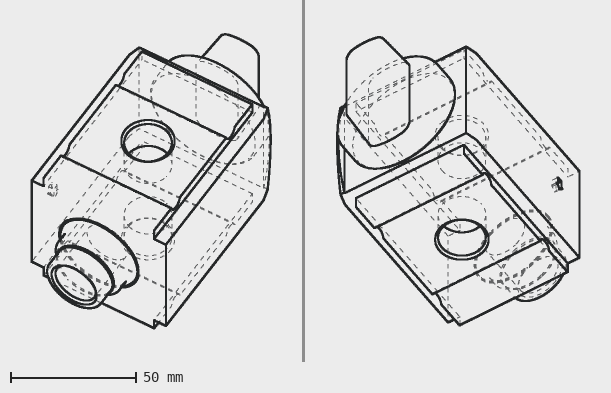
import cadquery as cq
import math


margin = 0.1

block_length = 80.1
block_height = 52.3
bulge_width = 67.0
front_width = 62.7
rear_width = 60.0
bevel_slope = math.tan(math.radians(15))

pad_width = 51.5
pad_length = 75.5
total_height = 63.0
pad_edge_radius = 0.4

groove_radius = 3.0
groove_edge_radius = 0.5
groove_places = (16.6, 58.7)

port_radius = 9.5
port_depth = 15.2
port_place = pad_length / 2
port_chamfer = 1.1

spout_length = 18.9
spout_root_radius = 18.0
spout_middle_radius = 15.5
spout_shoulder_radius = 13.2
spout_end_radius = 13.0
spout_cone_length = 2.5
spout_middle_end = 7.7
spout_shoulder_end = 10.8
spout_bore_radius = 9.4
spout_bore_depth = 25.4
spout_bore_chamfer = 1.1
spout_edge_radius = 0.8
spout_blend_radius = 0.6
clearance_radius = 18.5
clearance_depth = 0.6

collar_radius = 25.0
collar_length = 10.5
collar_edge_radius = 0.8
knob_length = 17.4
knob_width = 19.7
knob_end_radius = 22.1
knob_corner_radius = 5.2
knob_draft = 2.4
knob_edge_radius = 0.5

lip_inner = 28.1
lip_height = 4.6
lip_end_height = 0.4
lip_root = 1.3

arrow_place = 17.7
arrow_top = 3.0
arrow_neck = -0.8
arrow_tip = -2.9
arrow_shaft_width = 2.5
arrow_head_width = 4.1
arrow_floor = 31.0


def make_block():
    """Bulged prism whose sides are bevelled towards both ends."""
    edge = front_width / 2
    crest = bulge_width / 2
    half_height = block_height / 2
    prism = (
        cq.Workplane("XZ")
        .moveTo(-edge, -half_height)
        .lineTo(edge, -half_height)
        .threePointArc((crest, 0), (edge, half_height))
        .lineTo(-edge, half_height)
        .threePointArc((-crest, 0), (-edge, -half_height))
        .close()
        .extrude(-block_length)
    )
    front_bevel = (crest - edge) / bevel_slope
    rear_bevel = (crest - rear_width / 2) / bevel_slope
    right_side = [
        (edge, 0),
        (crest, front_bevel),
        (crest, block_length - rear_bevel),
        (rear_width / 2, block_length),
    ]
    left_side = [(-x, y) for x, y in reversed(right_side)]
    plan = (
        cq.Workplane("XY")
        .polyline(right_side + left_side)
        .close()
        .extrude(half_height, both=True)
    )
    return prism.intersect(plan)


def band(start, end):
    """Selects the edges whose centres lie between two places along Y."""
    return cq.selectors.BoxSelector((-bulge_width, start, -total_height), (bulge_width, end, total_height))


def make_pads():
    """One slab through the block that stands out above and below it as two grooved pads."""
    slab = cq.Workplane("XY").box(pad_width, pad_length, total_height).translate((0, pad_length / 2, 0))
    slab = slab.edges("|X").fillet(pad_edge_radius)
    centres = [(y, side * total_height / 2) for y in groove_places for side in (-1, 1)]
    grooves = cq.Workplane("YZ").pushPoints(centres).circle(groove_radius).extrude(pad_width)
    slab = slab.cut(grooves.translate((-pad_width / 2, 0, 0)))
    for y in groove_places:
        rims = band(y - groove_radius - margin, y + groove_radius + margin)
        slab = slab.edges("|X").edges(rims).fillet(groove_edge_radius)
    return slab


def make_port():
    """Chamfered blind hole sunk into the upper pad."""
    mouth = port_radius + port_chamfer
    top = total_height / 2
    return (
        cq.Workplane("XZ")
        .polyline([
            (0, top),
            (mouth, top),
            (port_radius, top - port_chamfer),
            (port_radius, top - port_depth),
            (0, top - port_depth),
        ])
        .close()
        .revolve(360, (0, 0), (0, 1))
        .translate((0, port_place, 0))
    )


def turn(outline):
    """Solid of revolution about Y from (radius, y) points."""
    return cq.Workplane("XY").polyline(outline).close().revolve(360, (0, 0), (0, 1))


def make_clearance():
    return turn([(0, 0), (clearance_radius, 0), (clearance_radius, clearance_depth), (0, clearance_depth)])


def make_spout():
    shoulder_start = spout_middle_end + spout_middle_radius - spout_shoulder_radius
    spout = turn([
        (0, clearance_depth),
        (spout_root_radius, clearance_depth),
        (spout_root_radius, 0),
        (spout_middle_radius, -spout_cone_length),
        (spout_middle_radius, -spout_middle_end),
        (spout_shoulder_radius, -shoulder_start),
        (spout_shoulder_radius, -spout_shoulder_end),
        (spout_end_radius, -spout_shoulder_end),
        (spout_end_radius, -spout_length),
        (0, -spout_length),
    ])
    for place in (spout_cone_length, spout_middle_end):
        rim = band(-place - margin, -place + margin)
        spout = spout.edges("%CIRCLE").edges(rim).fillet(spout_blend_radius)
    return spout.faces("<Y").edges().fillet(spout_edge_radius)


def make_spout_bore():
    return turn([
        (0, -spout_length),
        (spout_bore_radius + spout_bore_chamfer, -spout_length),
        (spout_bore_radius, -spout_length + spout_bore_chamfer),
        (spout_bore_radius, spout_bore_depth - spout_length),
        (0, spout_bore_depth - spout_length),
    ])


def make_collar():
    collar = cq.Workplane("XZ").circle(collar_radius).extrude(-collar_length)
    return collar.edges().fillet(collar_edge_radius).translate((0, block_length, 0))


def make_knob():
    """Drafted grip: a flat bar with rounded ends and softened corners."""
    half = knob_width / 2
    flat_end = math.sqrt(knob_end_radius**2 - half**2)
    grip = (
        cq.Workplane("XZ")
        .moveTo(half, -flat_end)
        .lineTo(half, flat_end)
        .threePointArc((0, knob_end_radius), (-half, flat_end))
        .lineTo(-half, -flat_end)
        .threePointArc((0, -knob_end_radius), (half, -flat_end))
        .close()
        .extrude(-knob_length, taper=knob_draft)
    )
    corners = grip.edges("not(#Y)").edges("not(<Y or >Y)")
    grip = corners.fillet(knob_corner_radius).faces(">Y").edges().fillet(knob_edge_radius)
    return grip.translate((0, block_length + collar_length, 0))


def make_rear_lip():
    """Arched lip that carries the rear bevel of the +X side on behind the block."""
    half = block_height / 2
    root = block_length - lip_root
    tip = block_length + lip_height
    arch_end = block_length + lip_end_height
    root_x = rear_width / 2
    tip_x = root_x - lip_height * bevel_slope
    wedge = (
        cq.Workplane("XY")
        .polyline([
            (lip_inner, root),
            (root_x + lip_root * bevel_slope, root),
            (tip_x, tip),
            (lip_inner, tip),
        ])
        .close()
        .extrude(half, both=True)
    )
    arch = (
        cq.Workplane("YZ")
        .moveTo(root, -half)
        .lineTo(arch_end, -half)
        .threePointArc((tip, 0), (arch_end, half))
        .lineTo(root, half)
        .close()
        .extrude(bulge_width)
    )
    return wedge.intersect(arch)


def make_arrow():
    shaft = arrow_shaft_width / 2
    head = arrow_head_width / 2
    outline = [
        (-shaft, arrow_top),
        (shaft, arrow_top),
        (shaft, arrow_neck),
        (head, arrow_neck),
        (0, arrow_tip),
        (-head, arrow_neck),
        (-shaft, arrow_neck),
    ]
    arrow = cq.Workplane("YZ").polyline(outline).close().extrude(-bulge_width)
    return arrow.translate((-arrow_floor, arrow_place, 0))


upper_port = make_port()
lower_port = upper_port.mirror("XY")

result = (
    make_block()
    .union(make_pads())
    .union(make_collar())
    .union(make_knob())
    .union(make_rear_lip())
    .cut(upper_port)
    .cut(lower_port)
    .cut(make_arrow())
    .cut(make_clearance())
    .union(make_spout())
    .cut(make_spout_bore())
)